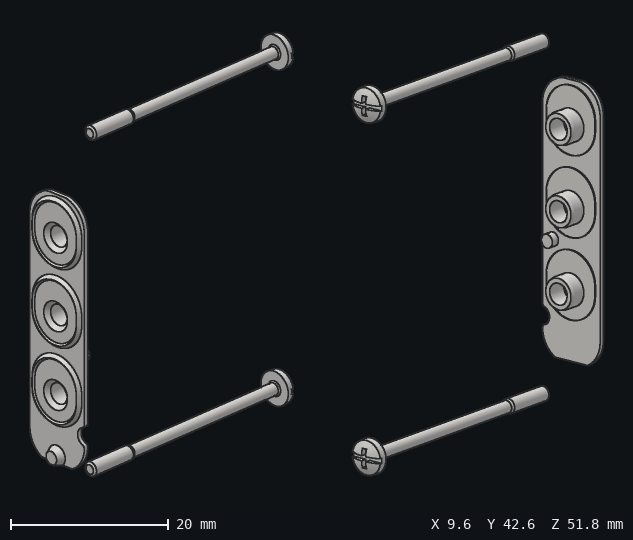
import cadquery as cq
import math


head_diameter = 4.8
head_shoulder_diameter = 4.65
bolt_pitch = 51.8 - head_diameter
bolt_tip_y = 6.0
bolt_chamfer_y = 6.2
thread_end_y = 13.0
shank_end_y = 13.4
head_bottom_y = 39.95
head_shoulder_y = 40.95
head_top_y = 41.55
shank_diameter = 1.7
thread_diameter = 2.0
bolt_tip_diameter = 1.3
neck_chamfer = 0.2
drive_slot_width = 0.65
drive_slot_depth = 0.85
drive_cross_length = 2.6

plate_width = 9.6
plate_bottom = 2.9
plate_top = 40.45
plate_thickness = 0.65
corner_radius = 4.0
top_corner_height = 3.95
bottom_corner_height = 3.5
notch_radius = 1.25
notch_x = 4.85
notch_z = 8.1
notch_lip_radius = 0.5

bushing_count = 3
bushing_pitch = 11.0
first_bushing_z = bolt_pitch / 2 - bushing_pitch
slot_straight = 1.25
rim_base_radius = 4.35
rim_crest_radius = 3.9
rim_floor_radius = 3.65
rim_height = 0.5
rim_recess_depth = 0.25
back_pad_radius = 4.05
back_pad_height = 0.15
boss_diameter = 4.45
boss_end_diameter = 4.2
boss_taper_y = 2.7
boss_end_y = 3.2
hole_diameter = 2.9
countersink_diameter = 4.15
countersink_depth = 0.6

front_pin_diameter = 2.9
front_pin_tip_diameter = 1.85
front_pin_height = 1.05
front_pin_z = 3.95
back_pin_diameter = 1.85
back_pin_x = 3.05
back_pin_z = 18.6
back_pin_end_y = 1.85


def front_plane(y):
    """XZ workplane at the given y; its extrusions run toward +Y when negative."""
    return cq.Workplane("XZ", origin=(0, y, 0))


def cylinder(x, z, diameter, start_y, end_y):
    return front_plane(start_y).center(x, z).circle(diameter / 2).extrude(start_y - end_y)


def cone(x, z, start_diameter, end_diameter, start_y, end_y):
    """Truncated cone along Y."""
    return (
        front_plane(start_y).center(x, z).circle(start_diameter / 2)
        .workplane(offset=start_y - end_y).circle(end_diameter / 2)
        .loft(combine=True, ruled=True)
    )


def upright_slot(hole_z, radius, start_y, end_y, end_radius=None):
    """Slot-shaped block along Y, its lower arc centred on the hole; sides slope to end_radius."""
    slope = 0 if end_radius is None else math.degrees(math.atan2(radius - end_radius, abs(end_y - start_y)))
    return (
        front_plane(start_y).center(0, hole_z + slot_straight / 2)
        .slot2D(slot_straight + 2 * radius, 2 * radius, 90)
        .extrude(start_y - end_y, taper=slope)
    )


def make_plate_outline():
    half_width = plate_width / 2
    arc_x = half_width - corner_radius
    top_arc_z = plate_top - top_corner_height
    bottom_arc_z = plate_bottom + bottom_corner_height
    top_half = arc_x + math.sqrt(corner_radius**2 - top_corner_height**2)
    bottom_half = arc_x + math.sqrt(corner_radius**2 - bottom_corner_height**2)
    reach = corner_radius / math.sqrt(2)
    mid_x = arc_x + reach
    return (
        front_plane(0)
        .moveTo(-bottom_half, plate_bottom)
        .lineTo(bottom_half, plate_bottom)
        .threePointArc((mid_x, bottom_arc_z - reach), (half_width, bottom_arc_z))
        .lineTo(half_width, top_arc_z)
        .threePointArc((mid_x, top_arc_z + reach), (top_half, plate_top))
        .lineTo(-top_half, plate_top)
        .threePointArc((-mid_x, top_arc_z + reach), (-half_width, top_arc_z))
        .lineTo(-half_width, bottom_arc_z)
        .threePointArc((-mid_x, bottom_arc_z - reach), (-bottom_half, plate_bottom))
        .close()
    )


def add_bushing(plate, z):
    """Sharp-crested rim round a shallow recess in front, pad and boss behind, countersunk hole through all."""
    pad_y = plate_thickness + back_pad_height
    recess_floor_y = rim_recess_depth - rim_height
    plate = plate.union(upright_slot(z, rim_base_radius, 0, -rim_height, rim_crest_radius))
    plate = plate.cut(upright_slot(z, rim_crest_radius, -rim_height, recess_floor_y, rim_floor_radius))
    plate = plate.union(upright_slot(z, back_pad_radius, plate_thickness, pad_y))
    plate = plate.union(cylinder(0, z, boss_diameter, plate_thickness, boss_taper_y))
    plate = plate.union(cone(0, z, boss_diameter, boss_end_diameter, boss_taper_y, boss_end_y))
    countersink_end_y = recess_floor_y + countersink_depth
    plate = plate.cut(cylinder(0, z, hole_diameter, -rim_height, boss_end_y))
    return plate.cut(cone(0, z, countersink_diameter, hole_diameter, recess_floor_y, countersink_end_y))


def make_plate():
    plate = make_plate_outline().extrude(-plate_thickness)
    plate = plate.cut(cylinder(notch_x, notch_z, 2 * notch_radius, 0, plate_thickness))
    lip_offset = math.sqrt(notch_radius**2 - (notch_x - plate_width / 2) ** 2)
    for lip_z in (notch_z - lip_offset, notch_z + lip_offset):
        lip_point = (plate_width / 2, plate_thickness / 2, lip_z)
        plate = plate.edges(cq.NearestToPointSelector(lip_point)).fillet(notch_lip_radius)
    for index in range(bushing_count):
        plate = add_bushing(plate, first_bushing_z + index * bushing_pitch)

    front_pin = cone(0, front_pin_z, front_pin_diameter, front_pin_tip_diameter, 0, -front_pin_height)
    below_plate = (
        cq.Workplane("XY", origin=(0, 0, plate_bottom))
        .rect(2 * front_pin_diameter, 4 * front_pin_height)
        .extrude(-front_pin_diameter)
    )
    plate = plate.union(front_pin.cut(below_plate))

    back_pin = cylinder(back_pin_x, back_pin_z, back_pin_diameter, plate_thickness, back_pin_end_y)
    return plate.union(back_pin)


def make_bolt(z):
    """Bolt along Y with a domed head, its tip toward -Y."""
    head_radius = head_diameter / 2
    shoulder_radius = head_shoulder_diameter / 2
    shank_radius = shank_diameter / 2
    thread_radius = thread_diameter / 2
    dome_rise = head_top_y - head_shoulder_y
    dome_radius = (shoulder_radius**2 + dome_rise**2) / (2 * dome_rise)
    dome_mid_x = shoulder_radius / 2
    dome_mid_y = head_top_y - dome_radius + math.sqrt(dome_radius**2 - dome_mid_x**2)
    bolt = (
        cq.Workplane("XY")
        .moveTo(0, bolt_tip_y)
        .lineTo(bolt_tip_diameter / 2, bolt_tip_y)
        .lineTo(thread_radius, bolt_chamfer_y)
        .lineTo(thread_radius, thread_end_y)
        .lineTo(shank_radius, shank_end_y)
        .lineTo(shank_radius, head_bottom_y - neck_chamfer)
        .lineTo(shank_radius + neck_chamfer, head_bottom_y)
        .lineTo(head_radius, head_bottom_y)
        .lineTo(shoulder_radius, head_shoulder_y)
        .threePointArc((dome_mid_x, dome_mid_y), (0, head_top_y))
        .close()
        .revolve(360, (0, 0, 0), (0, 1, 0))
    )
    drive = front_plane(head_top_y)
    bolt = bolt.cut(drive.rect(head_diameter, drive_slot_width).extrude(drive_slot_depth))
    bolt = bolt.cut(drive.rect(drive_slot_width, drive_cross_length).extrude(drive_slot_depth))
    return bolt.translate((0, 0, z))


plate = make_plate()
bolts = [make_bolt(index * bolt_pitch) for index in range(2)]

result = cq.Compound.makeCompound([plate.val(), *[bolt.val() for bolt in bolts]])